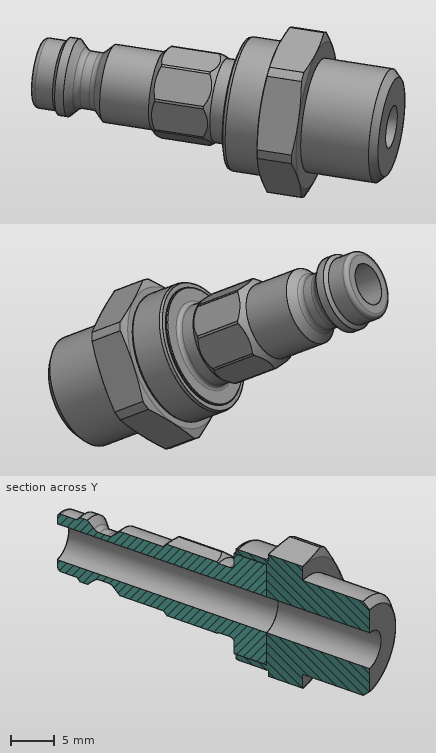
import cadquery as cq
import math

LENGTH = 41.5
BORE_DIA = 4.95

TIP_R = 8.1 / 2
TIP_FILLET = 0.55
TIP_END_X = 2.6
BODY_R = 9.0 / 2
COLLAR_START_X = 3.0
COLLAR_END_X = 4.03
WAIST_R = 6.65 / 2
FRONT_WAIST_FILLET = 1.05
REAR_WAIST_FILLET = 0.9
BODY_START_X = 8.3

OCT_START_X = 14.05
OCT_END_X = 21.4
OCT_ACROSS_FLATS = 10.0
OCT_CORNER_R = 10.7 / 2
OCT_FRONT_CHAMFER = OCT_CORNER_R - BODY_R
OCT_REAR_CHAMFER_LENGTH = 0.75

NECK_R = 9.7 / 2
NECK_FILLET = 0.5
FLANGE_FACE_R = 13.85 / 2
FLANGE_R = 14.05 / 2
FLANGE_CHAMFER = FLANGE_R - FLANGE_FACE_R
FLANGE_START_X = 23.45
FLANGE_END_X = 27.8

SLEEVE_R = 15.5 / 2
SLEEVE_START_X = 23.7
SLEEVE_FRONT_CHAMFER_LENGTH = 0.35
SLEEVE_CHAMFER_DEPTH = 0.12
SLEEVE_END_X = 27.8
HEX_START_X = 28.0
HEX_END_X = 32.6
HEX_ACROSS_FLATS = 17.0
HEX_CORNER_R = 19.0 / 2
HEX_FACE_R = 8.45
HEX_CHAMFER_ANGLE = math.radians(15)
HEX_CHAMFER_LENGTH = (HEX_CORNER_R - HEX_FACE_R) * math.tan(HEX_CHAMFER_ANGLE)
SPIGOT_R = 13.15 / 2
SPIGOT_CHAMFER = 0.87

SIN_45 = math.sin(math.radians(45))


def revolve_about_x(profile):
    """Turn a closed (x, radius) profile around the X axis."""
    return profile.close().revolve(360, (0, 0, 0), (1, 0, 0))


def turned(points):
    """Solid of revolution whose outer contour is the given (x, radius) points."""
    start_x = points[0][0]
    end_x = points[-1][0]
    return revolve_about_x(cq.Workplane("XY").polyline([(start_x, 0), *points, (end_x, 0)]))


def prism(sides, across_flats, start_x, end_x):
    """Regular prism along X with one pair of flats facing up and down."""
    corner_dia = across_flats / math.cos(math.pi / sides)
    outline = cq.Workplane("YZ", origin=(start_x, 0, 0)).polygon(sides, corner_dia)
    solid = outline.extrude(end_x - start_x)
    turn = 180 / sides if sides % 4 == 0 else 0
    return solid.rotate((0, 0, 0), (1, 0, 0), turn)


def through_bore():
    return turned([(0, BORE_DIA / 2), (LENGTH, BORE_DIA / 2)])


def nipple_front():
    """Turned plug end: rounded tip, collar, waist and straight body."""
    drop = BODY_R - WAIST_R
    front_rise = FRONT_WAIST_FILLET * (1 - SIN_45)
    rear_rise = REAR_WAIST_FILLET * (1 - SIN_45)
    front_arc_x = COLLAR_END_X + drop - front_rise
    rear_arc_x = BODY_START_X - drop + rear_rise
    waist_start_x = front_arc_x + FRONT_WAIST_FILLET * SIN_45
    waist_end_x = rear_arc_x - REAR_WAIST_FILLET * SIN_45
    profile = (
        cq.Workplane("XY")
        .moveTo(0, 0)
        .lineTo(0, TIP_R - TIP_FILLET)
        .radiusArc((TIP_FILLET, TIP_R), TIP_FILLET)
        .lineTo(TIP_END_X, TIP_R)
        .lineTo(COLLAR_START_X, BODY_R)
        .lineTo(COLLAR_END_X, BODY_R)
        .lineTo(front_arc_x, WAIST_R + front_rise)
        .radiusArc((waist_start_x, WAIST_R), -FRONT_WAIST_FILLET)
        .lineTo(waist_end_x, WAIST_R)
        .radiusArc((rear_arc_x, WAIST_R + rear_rise), -REAR_WAIST_FILLET)
        .lineTo(BODY_START_X, BODY_R)
        .lineTo(OCT_START_X, BODY_R)
        .lineTo(OCT_START_X, 0)
    )
    return revolve_about_x(profile)


def nipple_octagon():
    """Octagon with its corners turned off and both ends chamfered."""
    envelope = turned([
        (OCT_START_X, BODY_R),
        (OCT_START_X + OCT_FRONT_CHAMFER, OCT_CORNER_R),
        (OCT_END_X - OCT_REAR_CHAMFER_LENGTH, OCT_CORNER_R),
        (OCT_END_X, NECK_R),
    ])
    return prism(8, OCT_ACROSS_FLATS, OCT_START_X, OCT_END_X).intersect(envelope)


def nipple_flange():
    """Neck that runs through a fillet into the chamfered flange."""
    profile = (
        cq.Workplane("XY")
        .moveTo(OCT_END_X, 0)
        .lineTo(OCT_END_X, NECK_R)
        .lineTo(FLANGE_START_X - NECK_FILLET, NECK_R)
        .radiusArc((FLANGE_START_X, NECK_R + NECK_FILLET), -NECK_FILLET)
        .lineTo(FLANGE_START_X, FLANGE_FACE_R)
        .lineTo(FLANGE_START_X + FLANGE_CHAMFER, FLANGE_R)
        .lineTo(FLANGE_END_X, FLANGE_R)
        .lineTo(FLANGE_END_X, 0)
    )
    return revolve_about_x(profile)


def make_nipple():
    solid = nipple_front().union(nipple_octagon()).union(nipple_flange())
    return solid.cut(through_bore())


def housing_sleeve():
    chamfered_r = SLEEVE_R - SLEEVE_CHAMFER_DEPTH
    return turned([
        (SLEEVE_START_X, chamfered_r),
        (SLEEVE_START_X + SLEEVE_FRONT_CHAMFER_LENGTH, SLEEVE_R),
        (SLEEVE_END_X, SLEEVE_R),
        (HEX_START_X, chamfered_r),
    ])


def housing_hexagon():
    """Hexagon with its corners turned off and both ends chamfered."""
    envelope = turned([
        (HEX_START_X, HEX_FACE_R),
        (HEX_START_X + HEX_CHAMFER_LENGTH, HEX_CORNER_R),
        (HEX_END_X - HEX_CHAMFER_LENGTH, HEX_CORNER_R),
        (HEX_END_X, HEX_FACE_R),
    ])
    return prism(6, HEX_ACROSS_FLATS, HEX_START_X, HEX_END_X).intersect(envelope)


def housing_spigot():
    return turned([
        (HEX_END_X, SPIGOT_R),
        (LENGTH - SPIGOT_CHAMFER, SPIGOT_R),
        (LENGTH, SPIGOT_R - SPIGOT_CHAMFER),
    ])


def make_housing():
    solid = housing_sleeve().union(housing_hexagon()).union(housing_spigot())
    flange_seat = turned([(SLEEVE_START_X, FLANGE_R), (FLANGE_END_X, FLANGE_R)])
    return solid.cut(flange_seat).cut(through_bore())


nipple = make_nipple()
housing = make_housing()
result = cq.Compound.makeCompound([nipple.solids().val(), housing.solids().val()])